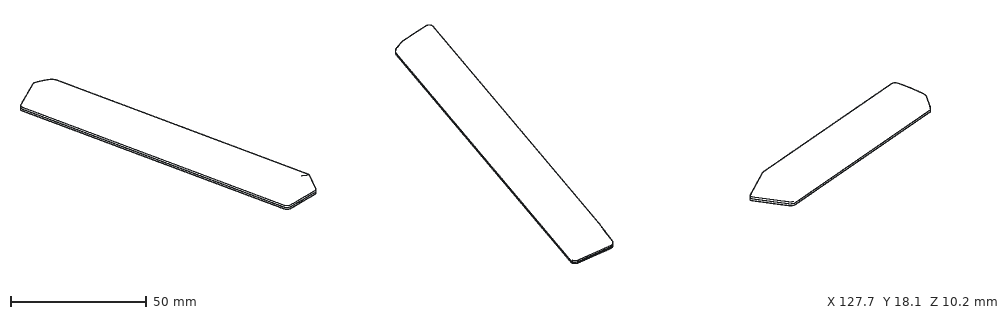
import cadquery as cq
import math

length = 127.7
depth = 18.1
band_height = 0.8
band_inset = 0.06
corner_radius = 1.9

side_inset = 3.1
front_inset = 4.1
back_inset = 0.5
front_height = 10.2
back_height = 6.5
crown = 0.4
edge_radius = 0.3

skirt_height = 2 * band_height
upper_length = length - 2 * band_inset
upper_depth = depth - 2 * band_inset

top_length = length - 2 * side_inset
front_y = -depth / 2 + front_inset
back_y = depth / 2 - back_inset
run = back_y - front_y
drop = front_height - back_height
top_depth = math.hypot(run, drop)
crest_y = (front_y + back_y) / 2
crest_z = (front_height + back_height) / 2 + crown


def band(size_x, size_y, bottom):
    """One flat skirt band with rounded vertical corners."""
    outline = cq.Sketch().rect(size_x, size_y).vertices().fillet(corner_radius)
    return cq.Workplane(origin=(0, 0, bottom)).placeSketch(outline).extrude(band_height)


def tapered_body():
    """Ruled body from the skirt outline up to the smaller, tilted top outline."""
    top_plane = cq.Plane(origin=(0, crest_y, crest_z), xDir=(1, 0, 0), normal=(0, drop, run))
    base = cq.Sketch().rect(upper_length, upper_depth).vertices().fillet(corner_radius)
    top = cq.Sketch().rect(top_length, top_depth).vertices().fillet(corner_radius)
    base_location = cq.Location(cq.Vector(0, 0, skirt_height))
    return (
        cq.Workplane("XY")
        .placeSketch(base.moved(base_location), top.moved(top_plane.location))
        .loft(ruled=True)
    )


def crown_cylinder():
    """Lengthwise cylinder whose upper side is the shallow arc of the touch surface."""
    radius = (top_depth**2 / 4 + crown**2) / (2 * crown)
    axis_y = crest_y - radius * drop / top_depth
    axis_z = crest_z - radius * run / top_depth
    return cq.Workplane("YZ").center(axis_y, axis_z).circle(radius).extrude(length / 2, both=True)


cap = tapered_body().intersect(crown_cylinder())
cap = cap.faces(">Z").edges().fillet(edge_radius)

lower_band = band(length, depth, 0)
upper_band = band(upper_length, upper_depth, band_height)
result = lower_band.union(upper_band).union(cap)